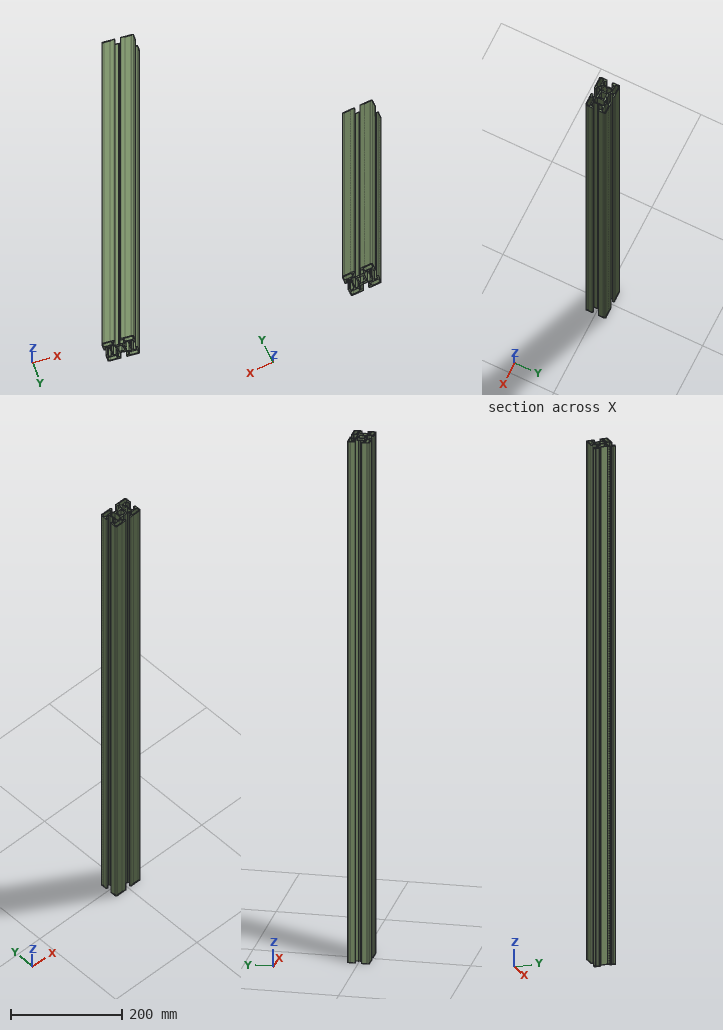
import cadquery as cq

WIDTH = 60.0
DEPTH = 40.0
LENGTH = 1000.0
CORNER_RADIUS = 2.0

SLOT_OPENING = 11.0
MOUTH_RADIUS = 1.0
LIP_THICKNESS = 3.5
SLOT_INNER_WIDTH = 19.4
SLOT_FLOOR_WIDTH = 15.3
SLOT_DEPTH = 10.9
FLOOR_CHAMFER = 2.0
GROOVE_WIDTH = 3.0
GROOVE_DEPTH = 2.0

OUTER_WALL = 1.5
CORNER_HOLLOW_X = 11.5
CORNER_HOLLOW_Y = 12.0
HOLLOW_RADIUS = 2.5
HOLLOW_OUTER_RADIUS = 3.0

CORE_HOLE = 11.0

SIDE_HOLLOW_OUTER_X = 17.0
SIDE_HOLLOW_SHOULDER_X = 12.0
SIDE_HOLLOW_INNER_X = 8.0
SIDE_HOLLOW_OUTER_HEIGHT = 19.6
SIDE_HOLLOW_INNER_HEIGHT = 13.0


def prism(points):
    """Full-length prism over a closed polygon in the XY plane."""
    return cq.Workplane("XY").polyline(points).close().extrude(LENGTH)


def body():
    return cq.Workplane("XY").rect(WIDTH, DEPTH).extrude(LENGTH).edges("|Z").fillet(CORNER_RADIUS)


def t_slot(face, angle):
    """T-slot cutter for a face at distance `face` from the centre, turned from +Y by `angle` degrees."""
    mouth = SLOT_OPENING / 2
    inner = SLOT_INNER_WIDTH / 2
    floor = SLOT_FLOOR_WIDTH / 2
    groove = GROOVE_WIDTH / 2
    lip_level = face - LIP_THICKNESS
    floor_level = face - SLOT_DEPTH
    cutter = (
        cq.Workplane("XY")
        .moveTo(-mouth - MOUTH_RADIUS, face)
        .radiusArc((-mouth, face - MOUTH_RADIUS), MOUTH_RADIUS)
        .lineTo(-mouth, lip_level)
        .lineTo(-inner, lip_level)
        .lineTo(-inner, floor_level + FLOOR_CHAMFER)
        .lineTo(-floor, floor_level)
        .lineTo(-groove, floor_level)
        .lineTo(0, floor_level - GROOVE_DEPTH)
        .lineTo(groove, floor_level)
        .lineTo(floor, floor_level)
        .lineTo(inner, floor_level + FLOOR_CHAMFER)
        .lineTo(inner, lip_level)
        .lineTo(mouth, lip_level)
        .lineTo(mouth, face - MOUTH_RADIUS)
        .radiusArc((mouth + MOUTH_RADIUS, face), MOUTH_RADIUS)
        .close()
        .extrude(LENGTH)
    )
    return cutter.rotate((0, 0, 0), (0, 0, 1), angle)


def corner_hollow():
    """Rounded hollow in the +X +Y corner, with a larger radius at its outer corner."""
    left = CORNER_HOLLOW_X
    right = WIDTH / 2 - OUTER_WALL
    bottom = CORNER_HOLLOW_Y
    top = DEPTH / 2 - OUTER_WALL
    small = HOLLOW_RADIUS
    large = HOLLOW_OUTER_RADIUS
    return (
        cq.Workplane("XY")
        .moveTo(left + small, bottom)
        .lineTo(right - small, bottom)
        .radiusArc((right, bottom + small), -small)
        .lineTo(right, top - large)
        .radiusArc((right - large, top), -large)
        .lineTo(left + small, top)
        .radiusArc((left, top - small), -small)
        .lineTo(left, bottom + small)
        .radiusArc((left + small, bottom), -small)
        .close()
        .extrude(LENGTH)
    )


def side_hollow():
    """Tapered hollow on the +X side of the core."""
    outer_y = SIDE_HOLLOW_OUTER_HEIGHT / 2
    inner_y = SIDE_HOLLOW_INNER_HEIGHT / 2
    return prism([
        (SIDE_HOLLOW_OUTER_X, -outer_y),
        (SIDE_HOLLOW_OUTER_X, outer_y),
        (SIDE_HOLLOW_SHOULDER_X, outer_y),
        (SIDE_HOLLOW_INNER_X, inner_y),
        (SIDE_HOLLOW_INNER_X, -inner_y),
        (SIDE_HOLLOW_SHOULDER_X, -outer_y),
    ])


result = body()
for angle in (0, 180):
    result = result.cut(t_slot(DEPTH / 2, angle))
    result = result.cut(t_slot(WIDTH / 2, angle + 90))

corner = corner_hollow()
side = side_hollow()
for hollow in (corner, corner.mirror("XZ"), side):
    result = result.cut(hollow)
    result = result.cut(hollow.mirror("YZ"))

result = result.cut(cq.Workplane("XY").rect(CORE_HOLE, CORE_HOLE).extrude(LENGTH))